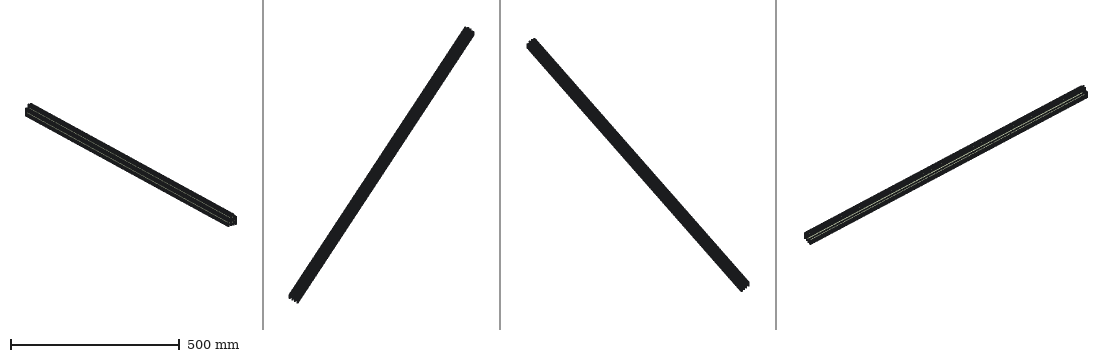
import cadquery as cq
import math

length = 1000.0
width = 29.0
height = 33.8

wall_thickness = 2.0
wall_top = 23.0
lip_reach = 5.0
lip_thickness = 2.0

rib_bottom = 2.6
rib_top = 6.0
rib_depth = 0.4

web_top = 17.0
web_thickness = 2.0

fin_inner_y = 3.35
fin_thickness = 1.5
barb_outer_reach = 0.4
barb_inner_reach = 0.2
barb_root_z = 28.0
barb_underside_rise = 1.2
tip_center_y = 4.0
tip_width = 0.3
tip_slope_from_vertical = 30.0

wall_outer_y = width / 2
wall_inner_y = wall_outer_y - wall_thickness
lip_edge_y = wall_outer_y - lip_reach
fin_outer_y = fin_inner_y + fin_thickness


def start_profile(y, z):
    """Begin an outline in the YZ plane at the -X end of the part."""
    return cq.Workplane("YZ", origin=(-length / 2, 0, 0)).moveTo(y, z)


def add_round_foot(outline, inner_y, outer_y):
    """Run down the inner face, around a half-circle resting on Z = 0, to the outer face."""
    radius = (outer_y - inner_y) / 2
    outline = outline.lineTo(inner_y, radius)
    return outline.threePointArc((inner_y + radius, 0), (outer_y, radius))


def make_wall():
    """The +Y wall with its lip and grip rib."""
    lip_underside = wall_top - lip_thickness
    rib_face_y = wall_inner_y - rib_depth
    outline = (
        start_profile(wall_outer_y, wall_top)
        .lineTo(lip_edge_y, wall_top)
        .lineTo(lip_edge_y, lip_underside)
        .lineTo(wall_inner_y, lip_underside)
        .lineTo(wall_inner_y, rib_top)
        .lineTo(rib_face_y, rib_top)
        .lineTo(rib_face_y, rib_bottom)
        .lineTo(wall_inner_y, rib_bottom)
    )
    return add_round_foot(outline, wall_inner_y, wall_outer_y).close().extrude(length)


def make_fin():
    """The +Y fin with its barbed, tapered head."""
    drop_per_reach = 1 / math.tan(math.radians(tip_slope_from_vertical))
    tip_outer_y = tip_center_y + tip_width / 2
    tip_inner_y = tip_center_y - tip_width / 2
    barb_outer_y = fin_outer_y + barb_outer_reach
    barb_inner_y = fin_inner_y - barb_inner_reach
    barb_edge_z = barb_root_z + barb_underside_rise
    outer_shoulder_z = height - (barb_outer_y - tip_outer_y) * drop_per_reach
    inner_shoulder_z = height - (tip_inner_y - barb_inner_y) * drop_per_reach
    outline = (
        start_profile(fin_outer_y, barb_root_z)
        .lineTo(barb_outer_y, barb_edge_z)
        .lineTo(barb_outer_y, outer_shoulder_z)
        .lineTo(tip_outer_y, height)
        .lineTo(tip_inner_y, height)
        .lineTo(barb_inner_y, inner_shoulder_z)
        .lineTo(barb_inner_y, barb_edge_z)
        .lineTo(fin_inner_y, barb_root_z)
    )
    return add_round_foot(outline, fin_inner_y, fin_outer_y).close().extrude(length)


def make_web():
    """The flat web, reaching into the middle of both walls."""
    web_width = width - wall_thickness
    web_center_z = web_top - web_thickness / 2
    return cq.Workplane("XY").box(length, web_width, web_thickness).translate((0, 0, web_center_z))


result = make_web()
for half_member in (make_wall(), make_fin()):
    result = result.union(half_member).union(half_member.mirror("XZ"))